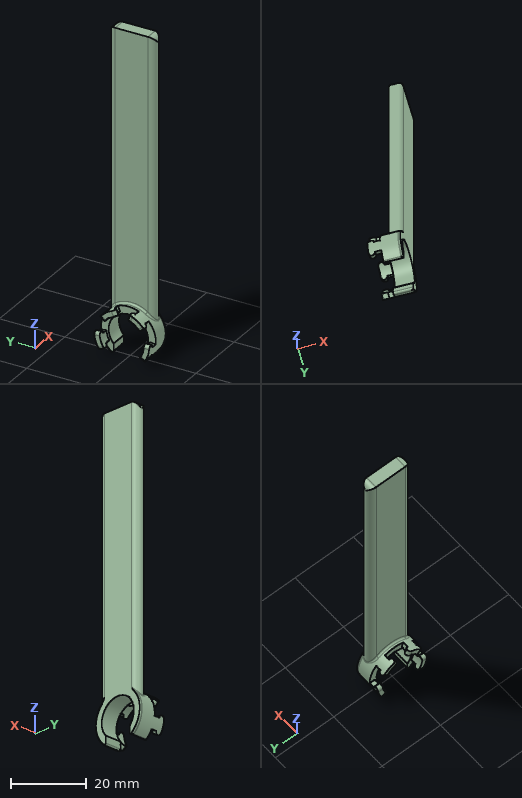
import cadquery as cq
import math

outer_radius = 8.4
inner_radius = 6.0
ring_front_x = 3.5
back_x = 9.0
back_bevel_length = 0.6
back_bevel_depth = 0.15

mouth_half_width = 4.5
tip_radius = 0.5

bar_thickness = 4.0
bar_width = 14.0
bar_top_z = 90.0
bar_edge_radius = bar_thickness / 2
bar_front_x = back_x - bar_thickness
bar_root_fillet = 0.6
back_clearance = 0.06

tooth_inner_radius = 6.7
tooth_center_angles = (55.0, -17.5)
tooth_half_angle = 12.8
bump_radius = 0.9
bump_center_x = bump_radius
tooth_root_overlap = 0.6


def x_cylinder(radius, start_x, end_x):
    return cq.Workplane("YZ", origin=(start_x, 0, 0)).circle(radius).extrude(end_x - start_x)


def polar(radius, angle):
    """Y and Z of a point at the given radius and angle about the ring axis."""
    radians = math.radians(angle)
    return radius * math.cos(radians), radius * math.sin(radians)


def make_disc():
    """Solid disc of the ring, with a shallow bevel around its back edge."""
    profile = [
        (ring_front_x, 0),
        (ring_front_x, outer_radius),
        (back_x - back_bevel_length, outer_radius),
        (back_x, outer_radius - back_bevel_depth),
        (back_x, 0),
    ]
    return cq.Workplane("XY").polyline(profile).close().revolve(360, (0, 0, 0), (1, 0, 0))


def make_bar():
    """Bar with half-round long edges and rounded top corners."""
    half_round_bar = (
        cq.Workplane("XY")
        .center(back_x - bar_thickness / 2, 0)
        .slot2D(bar_width, bar_thickness, 90)
        .extrude(bar_top_z)
    )
    rounded_top = (
        cq.Workplane("YZ", origin=(bar_front_x, 0, 0))
        .rect(bar_width, 2 * bar_top_z)
        .extrude(bar_thickness)
        .edges("|X and >Z")
        .fillet(bar_edge_radius)
    )
    return half_round_bar.intersect(rounded_top)


def fillet_bar_root(body):
    """Fillet the seam where the front and sides of the bar meet the ring.

    The clearance keeps the edges of the flat back out of the selection.
    """
    seam_low = (ring_front_x + bar_root_fillet, -bar_width, 0)
    seam_high = (back_x - back_clearance, bar_width, outer_radius + bar_root_fillet)
    return body.edges(cq.selectors.BoxSelector(seam_low, seam_high)).fillet(bar_root_fillet)


def make_mouth_cutter():
    """Channel below the ring axis that leaves both tips with a rounded outer corner."""
    tip_y = mouth_half_width + tip_radius
    tip_center_radius = outer_radius - tip_radius
    tip_z = -math.sqrt(tip_center_radius**2 - tip_y**2)
    tip_bottom = (tip_y, tip_z - tip_radius)
    blend_y, blend_z = polar(outer_radius, math.degrees(math.atan2(tip_z, tip_y)))
    half = (
        cq.Workplane("YZ")
        .lineTo(mouth_half_width, 0)
        .lineTo(mouth_half_width, tip_z)
        .threePointArc(tip_bottom, (blend_y, blend_z))
        .lineTo(blend_y, -2 * outer_radius)
        .lineTo(0, -2 * outer_radius)
        .close()
        .extrude(back_x)
    )
    return half.union(half.mirror("XZ"))


def make_tooth(center_angle):
    """Sector-shaped tooth with a round bump along each side of its head."""
    root_x = ring_front_x + tooth_root_overlap
    reach = 2 * outer_radius
    side_angles = (center_angle - tooth_half_angle, center_angle + tooth_half_angle)
    corners = [(0, 0)] + [polar(reach, angle) for angle in side_angles]
    tooth = cq.Workplane("YZ").polyline(corners).close().extrude(root_x)
    for angle in side_angles:
        axis = cq.Vector(0, *polar(1, angle))
        bump = cq.Solid.makeCylinder(bump_radius, reach, cq.Vector(bump_center_x, 0, 0), axis)
        tooth = tooth.union(cq.Workplane(obj=bump))
    wall = x_cylinder(outer_radius, 0, root_x).cut(x_cylinder(tooth_inner_radius, 0, root_x))
    return tooth.intersect(wall)


result = fillet_bar_root(make_disc().union(make_bar()))
result = result.cut(x_cylinder(inner_radius, ring_front_x, back_x))
result = result.cut(make_mouth_cutter())
for tooth_angle in tooth_center_angles:
    tooth = make_tooth(tooth_angle)
    result = result.union(tooth).union(tooth.mirror("XZ"))